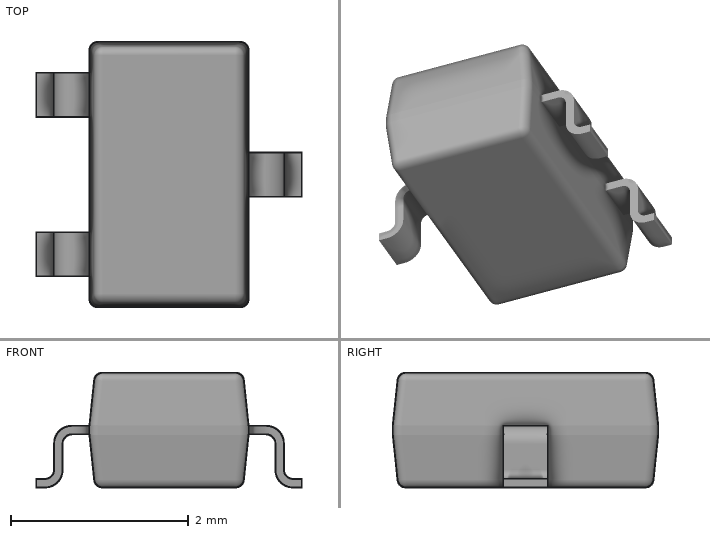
import cadquery as cq

BODY_LENGTH = 3.0
BODY_WIDTH = 1.8
BODY_HEIGHT = 1.3
LEAD_SPAN = 3.0

DRAFT_ANGLE = 6.0
EDGE_RADIUS = 0.1
BAND_HEIGHT = 0.108

LEAD_THICKNESS = 0.1
LEAD_WIDTH = 0.5
LEAD_PITCH = 1.8
OUTER_BEND_RADIUS = 0.2
FOOT_FLAT = 0.1

INNER_BEND_RADIUS = OUTER_BEND_RADIUS - LEAD_THICKNESS
HALF_HEIGHT = (BODY_HEIGHT - BAND_HEIGHT) / 2
BAND_BOTTOM = HALF_HEIGHT
BAND_TOP = BAND_BOTTOM + BAND_HEIGHT
LEAD_BOTTOM = (BODY_HEIGHT - LEAD_THICKNESS) / 2
LEAD_TOP = LEAD_BOTTOM + LEAD_THICKNESS


def make_housing():
    """Block with an upright middle band, drafted walls and rounded edges."""
    band = (
        cq.Workplane("XY", origin=(0, 0, BAND_BOTTOM))
        .rect(BODY_WIDTH, BODY_LENGTH)
        .extrude(BAND_HEIGHT)
    )
    upper = (
        cq.Workplane("XY", origin=(0, 0, BAND_TOP))
        .rect(BODY_WIDTH, BODY_LENGTH)
        .extrude(HALF_HEIGHT, taper=DRAFT_ANGLE)
    )
    lower = (
        cq.Workplane("XY", origin=(0, 0, BAND_BOTTOM))
        .rect(BODY_WIDTH, BODY_LENGTH)
        .extrude(-HALF_HEIGHT, taper=DRAFT_ANGLE)
    )
    block = band.union(upper).union(lower)
    corner_edges = block.edges("not #Z")
    end_edges = block.faces("<Z or >Z").edges()
    return block.newObject(corner_edges.vals() + end_edges.vals()).fillet(EDGE_RADIUS)


def make_lead(y_center):
    """Gull-wing lead on the +X side, from the housing wall down to the foot."""
    foot_end = LEAD_SPAN / 2
    foot_bend = foot_end - FOOT_FLAT
    shank_inner = foot_bend - OUTER_BEND_RADIUS
    shank_outer = shank_inner + LEAD_THICKNESS
    shoulder_bend = shank_outer - OUTER_BEND_RADIUS
    shank_top = LEAD_TOP - OUTER_BEND_RADIUS
    shank_bottom = OUTER_BEND_RADIUS
    wall = BODY_WIDTH / 2
    profile = (
        cq.Workplane("XZ", origin=(0, y_center, 0))
        .moveTo(wall, LEAD_TOP)
        .lineTo(shoulder_bend, LEAD_TOP)
        .radiusArc((shank_outer, shank_top), OUTER_BEND_RADIUS)
        .lineTo(shank_outer, shank_bottom)
        .radiusArc((foot_bend, LEAD_THICKNESS), -INNER_BEND_RADIUS)
        .lineTo(foot_end, LEAD_THICKNESS)
        .lineTo(foot_end, 0)
        .lineTo(foot_bend, 0)
        .radiusArc((shank_inner, shank_bottom), OUTER_BEND_RADIUS)
        .lineTo(shank_inner, shank_top)
        .radiusArc((shoulder_bend, LEAD_BOTTOM), -INNER_BEND_RADIUS)
        .lineTo(wall, LEAD_BOTTOM)
        .close()
    )
    return profile.extrude(LEAD_WIDTH / 2, both=True)


housing = make_housing()
right_lead = make_lead(0)
left_leads = [
    make_lead(y).rotate((0, y, 0), (0, y, 1), 180)
    for y in (-LEAD_PITCH / 2, LEAD_PITCH / 2)
]

result = cq.Compound.makeCompound(
    [housing.val(), right_lead.val(), *[lead.val() for lead in left_leads]]
)